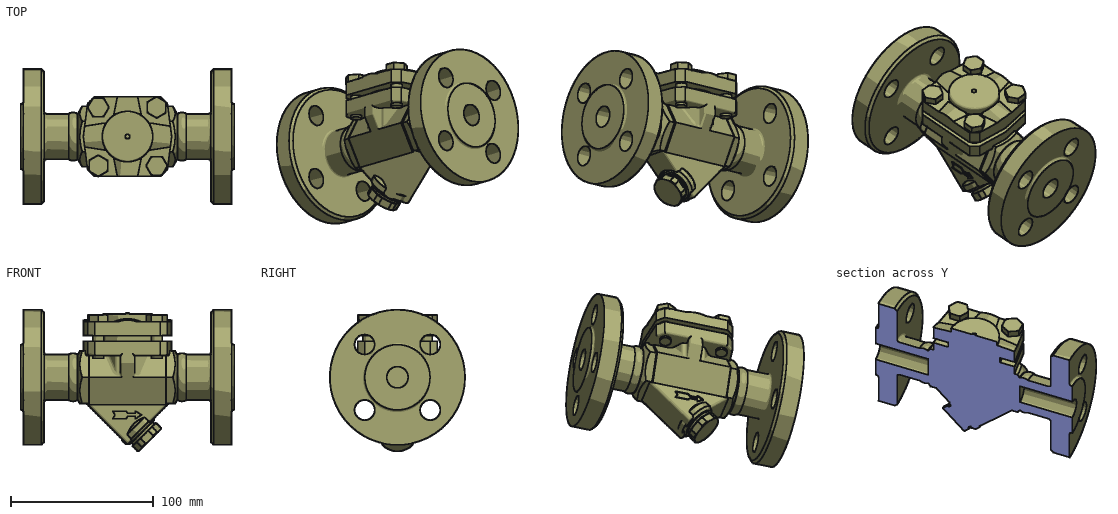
import cadquery as cq
import math

FACE_TO_FACE = 150.0
FLANGE_DIA = 95.0
FLANGE_THICKNESS = 14.5
FLANGE_CHAMFER = 2.0
RAISED_FACE_DIA = 45.8
RAISED_FACE_HEIGHT = 2.0
RAISED_FACE_FLARE = 1.6
FLANGE_BOLT_CIRCLE = 65.0
FLANGE_HOLE_DIA = 14.0
PIPE_DIA = 32.0
PIPE_FILLET = 1.9
BORE_DIA = 15.0
BORE_DEPTH = 40.0
BEAD_DIA = 34.0
BEAD_INNER_X = 35.1
BEAD_OUTER_X = 41.3

BODY_FLATS = 36.9
BODY_FACE_X = 33.4
END_CONE_ANGLE = 30.0
CORE_FLATS = 38.6
CORE_HALF_LENGTH = 27.3
CORE_CHAMFER = 0.5

WEDGE_DEPTH = 47.3
WEDGE_FILLET = 2.2
APEX_FILLET = 1.0
PLUG_AXIS_DROP = 28.3
BOSS_DIA = 28.2
BOSS_START = 28.2
BOSS_END = 32.4
BOSS_BACK_LENGTH = 4.0
BOSS_BACK_RADIUS = 8.2
BOSS_CHAMFER = 2.0
PLUG_NECK_DIA = 21.0
PLUG_HEAD_START = 36.6
PLUG_HEAD_END = 42.27
PLUG_HEAD_FLATS = 22.0
PLUG_HEAD_CORNERS = 23.3
PLUG_HEAD_CHAMFER = 0.4

JOINT_HALF_WIDTH = 28.0
JOINT_CORNER_CUT = 5.0
JOINT_PEAK_X = 31.0
SEAT_BOTTOM = 15.1
SEAT_TOP = 25.4
SEAT_FILLET = 1.6
BONNET_BOTTOM = 29.3
BONNET_TOP = 38.8
GASKET_DIA = 40.0

NECK_INNER = (8.1, 21.1)
NECK_OUTER = (15.9, 10.8)
NECK_CORNER_FILLET = 2.0
NECK_BASE_FILLET = 3.0
NECK_PILLAR_FILLET = 1.2
PILLAR_HALF_WIDTH = 5.0
PILLAR_FILLET = 1.6

CAP_TOP = 44.5
CAP_DIA = 35.4
CAP_FILLET = 1.3
TIP_RADIUS = 2.0
TIP_TOP = 45.3
RIDGE_RADIUS = 20.0
RIDGE_RISE_OUTER = 1.3
RIDGE_RISE_INNER = 2.4
RIDGE_INNER_POSITION = 16.0

BOLT_SPACING = 41.0
BOLT_DIA = 8.0
BOLT_TIP = 13.4
BOLT_HEAD_TOP = 43.7
BOLT_HEAD_FLATS = 13.0
BOLT_HEAD_CHAMFER = 0.4

ARROW_RELIEF = 0.6
ARROW_TAIL_X = -10.3
ARROW_NOTCH_X = -8.8
ARROW_TAIL_END_X = -1.0
ARROW_SHAFT_X = 0.2
ARROW_HEAD_X = 5.6
ARROW_TIP_X = 9.9
ARROW_Z = -26.4
ARROW_HALF_HEIGHT = 2.7
ARROW_SHAFT_HALF = 1.1

COS30 = math.cos(math.radians(30))
TAN30 = math.tan(math.radians(30))
WEDGE_HALF_THICKNESS = CORE_FLATS / 2 * TAN30
SEAM_OVERLAP = 1.0
EDGE_TOLERANCE = 0.5


def hexagon(flats, height):
    """Hexagonal prism along Z with corners on X."""
    return cq.Workplane("XY").polygon(6, flats / COS30).extrude(height)


def bolt_head(flats, corners, height, chamfer):
    """Hexagonal head along Z, its corners trimmed round and its top edge broken."""
    blank = cq.Workplane("XY").circle(corners / 2).extrude(height)
    blank = blank.faces(">Z").chamfer(chamfer)
    return hexagon(flats, height).intersect(blank)


def along_pipe(solid, half_length):
    """Lay a prism of full length 2 * half_length along X, centred, corners on Y."""
    turned = solid.translate((0, 0, -half_length)).rotate((0, 0, 0), (0, 0, 1), 90)
    return turned.rotate((0, 0, 0), (0, 1, 0), 90)


def both_ends(solid):
    return solid.union(solid.mirror("YZ"))


def pipe_end():
    """Flange, pipe and bead on the -X side, with the blind bore."""
    face_x = -FACE_TO_FACE / 2
    front_x = face_x + RAISED_FACE_HEIGHT
    back_x = front_x + FLANGE_THICKNESS
    face_r = RAISED_FACE_DIA / 2
    flare_r = face_r + RAISED_FACE_FLARE
    flange_r = FLANGE_DIA / 2
    pipe_r = PIPE_DIA / 2
    turn = math.sqrt(0.5)
    flare_mid = (front_x - RAISED_FACE_HEIGHT * (1 - turn), flare_r - RAISED_FACE_FLARE * turn)
    fillet_mid = (back_x + PIPE_FILLET * (1 - turn), pipe_r + PIPE_FILLET * (1 - turn))
    bead_mid = (-(BEAD_INNER_X + BEAD_OUTER_X) / 2, BEAD_DIA / 2)
    end = (
        cq.Workplane("XY")
        .moveTo(face_x, 0)
        .lineTo(face_x, face_r)
        .threePointArc(flare_mid, (front_x, flare_r))
        .lineTo(front_x, flange_r)
        .lineTo(back_x - FLANGE_CHAMFER, flange_r)
        .lineTo(back_x, flange_r - FLANGE_CHAMFER)
        .lineTo(back_x, pipe_r + PIPE_FILLET)
        .threePointArc(fillet_mid, (back_x + PIPE_FILLET, pipe_r))
        .lineTo(-BEAD_OUTER_X, pipe_r)
        .threePointArc(bead_mid, (-BEAD_INNER_X, pipe_r))
        .lineTo(-CORE_HALF_LENGTH, pipe_r)
        .lineTo(-CORE_HALF_LENGTH, 0)
        .close()
        .revolve(360, (0, 0, 0), (1, 0, 0))
    )
    holes = (
        cq.Workplane("YZ", origin=(face_x, 0, 0))
        .polarArray(FLANGE_BOLT_CIRCLE / 2, 45, 360, 4)
        .circle(FLANGE_HOLE_DIA / 2)
        .extrude(RAISED_FACE_HEIGHT + FLANGE_THICKNESS)
    )
    bore = cq.Workplane("YZ", origin=(face_x, 0, 0)).circle(BORE_DIA / 2).extrude(BORE_DEPTH)
    return end.cut(holes).cut(bore)


def body():
    """Hexagonal body with coned ends and a slightly larger core."""
    pipe_r = PIPE_DIA / 2
    corner_r = BODY_FLATS / 2 / COS30 + SEAM_OVERLAP
    slope = math.tan(math.radians(END_CONE_ANGLE))
    end_x = BODY_FACE_X + (BODY_FLATS / 2 - pipe_r) * slope
    cone_x = BODY_FACE_X - (corner_r - BODY_FLATS / 2) * slope
    envelope = (
        cq.Workplane("XY")
        .polyline([
            (-end_x, 0), (-end_x, pipe_r), (-cone_x, corner_r),
            (cone_x, corner_r), (end_x, pipe_r), (end_x, 0),
        ])
        .close()
        .revolve(360, (0, 0, 0), (1, 0, 0))
    )
    shell = along_pipe(hexagon(BODY_FLATS, 2 * end_x), end_x).intersect(envelope)
    core = hexagon(CORE_FLATS, 2 * CORE_HALF_LENGTH).faces("<Z or >Z").chamfer(CORE_CHAMFER)
    return shell.union(along_pipe(core, CORE_HALF_LENGTH))


def wedge():
    """V-shaped strainer housing hanging below the body."""
    top_z = -BODY_FLATS / 2 + SEAM_OVERLAP
    half_width = WEDGE_DEPTH + top_z
    plate = (
        cq.Workplane("XZ")
        .polyline([(-half_width, top_z), (half_width, top_z), (0, -WEDGE_DEPTH)])
        .close()
        .extrude(WEDGE_HALF_THICKNESS, both=True)
    )
    plate = plate.edges("|Y and <Z").fillet(APEX_FILLET)
    return plate.faces("<Y or >Y").edges("not |X").fillet(WEDGE_FILLET)


def strainer_plug():
    """Round boss, plug neck and hexagonal plug head on the sloping axis."""
    boss_r = BOSS_DIA / 2
    neck_r = PLUG_NECK_DIA / 2
    shoulder = BOSS_END + BOSS_CHAMFER
    turned = (
        cq.Workplane("XZ")
        .polyline([
            (0, BOSS_START - BOSS_BACK_LENGTH),
            (BOSS_BACK_RADIUS, BOSS_START - BOSS_BACK_LENGTH),
            (boss_r, BOSS_START),
            (boss_r, BOSS_END),
            (boss_r - BOSS_CHAMFER, shoulder),
            (neck_r, shoulder),
            (neck_r, PLUG_HEAD_START),
            (0, PLUG_HEAD_START),
        ])
        .close()
        .revolve(360, (0, 0, 0), (0, 1, 0))
    )
    head = bolt_head(
        PLUG_HEAD_FLATS, PLUG_HEAD_CORNERS, PLUG_HEAD_END - PLUG_HEAD_START, PLUG_HEAD_CHAMFER
    )
    plug = turned.union(head.translate((0, 0, PLUG_HEAD_START)))
    foot = PLUG_AXIS_DROP / 2
    return plug.rotate((0, 0, 0), (0, 1, 0), 135).translate((-foot, 0, -foot))


def flow_arrow():
    tail_h = ARROW_HALF_HEIGHT
    shaft_h = ARROW_SHAFT_HALF
    upper = [
        (ARROW_TAIL_X, tail_h), (ARROW_TAIL_END_X, tail_h), (ARROW_SHAFT_X, shaft_h),
        (ARROW_HEAD_X, shaft_h), (ARROW_HEAD_X, tail_h),
    ]
    lower = [(x, -z) for x, z in reversed(upper)]
    outline = upper + [(ARROW_TIP_X, 0)] + lower + [(ARROW_NOTCH_X, 0)]
    return (
        cq.Workplane("XZ", origin=(0, -WEDGE_HALF_THICKNESS + SEAM_OVERLAP, ARROW_Z))
        .polyline(outline)
        .close()
        .extrude(SEAM_OVERLAP + ARROW_RELIEF)
    )


def joint_plate(bottom, top):
    """Eight-cornered joint flange whose X sides come to a shallow point."""
    side = JOINT_HALF_WIDTH
    cut = side - JOINT_CORNER_CUT
    outline = [
        (JOINT_PEAK_X, 0), (side, cut), (cut, side), (-cut, side), (-side, cut),
        (-JOINT_PEAK_X, 0), (-side, -cut), (-cut, -side), (cut, -side), (side, -cut),
    ]
    plane = cq.Workplane("XY", origin=(0, 0, bottom))
    return plane.polyline(outline).close().extrude(top - bottom)


def necked_body():
    """Body with the slant-walled neck that carries the joint blended into it."""
    xi, yi = NECK_INNER
    xo, yo = NECK_OUTER
    plan = [(xo, yo), (xi, yi), (-xi, yi), (-xo, yo), (-xo, -yo), (-xi, -yi), (xi, -yi), (xo, -yo)]
    neck = cq.Workplane("XY").polyline(plan).close().extrude(SEAT_BOTTOM + SEAM_OVERLAP)
    front_corners = cq.selectors.BoxSelector((-xi - 1, -yi - 1, 0), (xi + 1, 1 - yi, SEAT_TOP))
    back_corners = cq.selectors.BoxSelector((-xi - 1, yi - 1, 0), (xi + 1, yi + 1, SEAT_TOP))
    neck = neck.edges("|Z").edges(front_corners + back_corners).fillet(NECK_CORNER_FILLET)
    joined = body().union(neck)

    def at_neck_base(edge):
        """True where a neck wall meets an upper flat of the body's core."""
        middle = edge.Center()
        on_flat = abs(abs(middle.y) + middle.z * TAN30 - CORE_FLATS / 2 / COS30) < EDGE_TOLERANCE
        return on_flat and abs(middle.x) < xo and EDGE_TOLERANCE < middle.z < SEAT_BOTTOM

    base = [edge for edge in joined.edges().vals() if at_neck_base(edge)]
    return joined.newObject(base).fillet(NECK_BASE_FILLET)


def pillars():
    """Pillar on each Y side, its toe in line with the lower flats of the core."""
    height = SEAT_BOTTOM + SEAT_FILLET
    side = JOINT_HALF_WIDTH
    corner_y = CORE_FLATS / 2 / COS30
    toe_z = (side - corner_y) / TAN30
    block = (
        cq.Workplane("YZ")
        .polyline([
            (-corner_y, 0), (corner_y, 0), (side, toe_z),
            (side, height), (-side, height), (-side, toe_z),
        ])
        .close()
        .extrude(PILLAR_HALF_WIDTH, both=True)
    )
    ends = cq.selectors.BoxSelector((-side, -side - 1, 1), (side, 1 - corner_y, height - 1))
    far_ends = cq.selectors.BoxSelector((-side, corner_y - 1, 1), (side, side + 1, height - 1))
    return block.edges(ends + far_ends).fillet(PILLAR_FILLET)


def pillared_body():
    """Necked body with the pillars blended into the front and back of the neck."""
    joined = necked_body().union(pillars())
    neck_y = NECK_INNER[1]

    def in_inner_corner(edge):
        """True for an upright edge where a pillar flank meets the neck."""
        middle = edge.Center()
        at_flank = abs(abs(middle.x) - PILLAR_HALF_WIDTH) < EDGE_TOLERANCE
        at_neck = abs(abs(middle.y) - neck_y) < EDGE_TOLERANCE
        return at_flank and at_neck and EDGE_TOLERANCE < middle.z < SEAT_BOTTOM

    corners = [edge for edge in joined.edges("|Z").vals() if in_inner_corner(edge)]
    return joined.newObject(corners).fillet(NECK_PILLAR_FILLET)


def seat():
    plate = joint_plate(SEAT_BOTTOM, SEAT_TOP)
    return plate.faces("<Z").edges().fillet(SEAT_FILLET)


def ridge(reach):
    """Arched ridge along +X, from inside the cap out to `reach`."""
    def section(x, rise):
        centre_z = BONNET_TOP + rise - RIDGE_RADIUS
        plane = cq.Workplane("YZ", origin=(x, 0, centre_z))
        return plane.circle(RIDGE_RADIUS).wires().val()

    inner = section(RIDGE_INNER_POSITION, RIDGE_RISE_INNER)
    outer = section(reach, RIDGE_RISE_OUTER)
    return cq.Workplane(cq.Solid.makeLoft([inner, outer], True))


def bonnet():
    """Upper joint plate with four ridges, the rounded cap and its centre tip."""
    plate = joint_plate(BONNET_BOTTOM, BONNET_TOP)
    envelope = joint_plate(BONNET_TOP - SEAM_OVERLAP, CAP_TOP)
    for turn in range(4):
        reach = JOINT_PEAK_X if turn % 2 == 0 else JOINT_HALF_WIDTH
        arch = ridge(reach).rotate((0, 0, 0), (0, 0, 1), 90 * turn)
        plate = plate.union(arch.intersect(envelope))
    cap = (
        cq.Workplane("XY", origin=(0, 0, BONNET_TOP - SEAM_OVERLAP))
        .circle(CAP_DIA / 2)
        .extrude(CAP_TOP - BONNET_TOP + SEAM_OVERLAP)
        .faces(">Z")
        .fillet(CAP_FILLET)
    )
    tip = cq.Workplane("XY").sphere(TIP_RADIUS).translate((0, 0, TIP_TOP - TIP_RADIUS))
    return plate.union(cap).union(tip)


def bonnet_bolts():
    offset = BOLT_SPACING / 2
    shank_length = BONNET_TOP - BOLT_TIP + SEAM_OVERLAP / 2
    shank = cq.Workplane("XY", origin=(0, 0, BOLT_TIP)).circle(BOLT_DIA / 2).extrude(shank_length)
    head_height = BOLT_HEAD_TOP - BONNET_TOP
    head = bolt_head(BOLT_HEAD_FLATS, BOLT_HEAD_FLATS / COS30, head_height, BOLT_HEAD_CHAMFER)
    bolts = cq.Workplane("XY")
    for x, y in [(1, 1), (1, -1), (-1, -1), (-1, 1)]:
        turn = 90 if x == y else 0
        turned = head.rotate((0, 0, 0), (0, 0, 1), turn).translate((0, 0, BONNET_TOP))
        bolts = bolts.union(shank.union(turned).translate((x * offset, y * offset, 0)))
    return bolts


def gasket():
    plane = cq.Workplane("XY", origin=(0, 0, SEAT_TOP))
    return plane.circle(GASKET_DIA / 2).extrude(BONNET_BOTTOM - SEAT_TOP)


result = (
    pillared_body()
    .union(both_ends(pipe_end()))
    .union(wedge())
    .union(strainer_plug())
    .union(flow_arrow())
    .union(seat())
    .union(gasket())
    .union(bonnet())
    .union(bonnet_bolts())
)